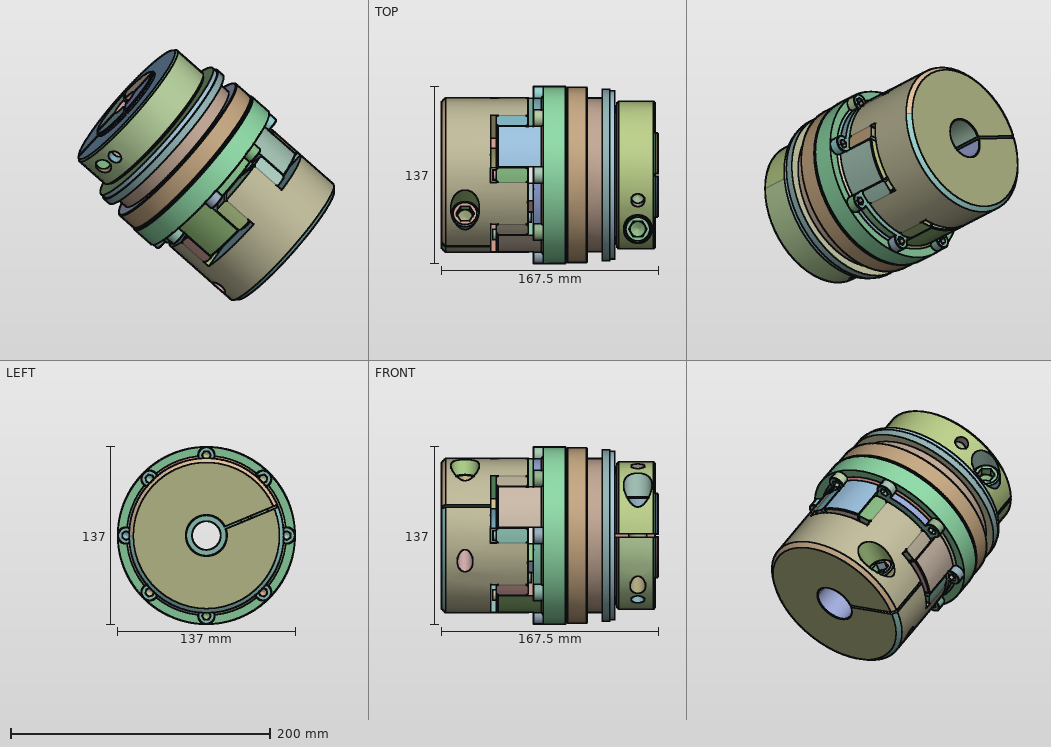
import cadquery as cq
import math


total_length = 167.5
hub_base_end = 38.0
hub_jaw_end = 66.5
driven_jaw_start = 43.0
driven_base_start = 71.0
driven_base_end = 77.0
flange_start = 78.7
flange_end = 96.0
ring_start = 97.0
ring_end = 112.6
neck_end = 124.0
plate_step = 130.0
plate_end = 133.8
collar_start = 133.9
collar_rim_start = 135.5
collar_end = 165.0

hub_radius = 59.7
hub_chamfer = 3.3
hub_bore_radius = 15.5
hub_bore_chamfer = 0.5
driven_cone_radius = 61.6
flange_radius = 68.5
flange_chamfer = 0.4
groove_radius = 66.5
ring_radius = 67.8
ring_chamfer = 0.7
neck_radius = 59.5
plate_radius = 66.3
plate_step_radius = 65.1
collar_neck_radius = 46.5
collar_radius = 57.1
collar_chamfer = 1.5
sleeve_radius = 32.5
sleeve_chamfer = 1.0
driven_bore_radius = 11.0

jaw_count = 4
jaw_pitch = 360 / jaw_count
jaw_inner_radius = 35.0
driven_jaw_angle = 22.5
hub_jaw_angle = driven_jaw_angle + jaw_pitch / 2
driven_jaw_clearance = 0.6
driven_jaw_chamfer = 0.8
spider_start = 42.3
spider_end = 67.0
spider_radius = hub_radius
spider_inner_radius = 29.0
spider_tooth_width = 11.2
spider_tooth_pitch = jaw_pitch / 2
spider_tooth_chamfer = 1.5
stud_diameter = 8.0
stud_height = 2.5
stud_radius = 46.0

flange_screw_count = 8
flange_screw_head = 13.0
flange_screw_edge = 0.4
flange_screw_inset = 0.05
flange_screw_circle_radius = flange_radius - flange_screw_head / 2 - flange_screw_inset
flange_screw_socket = 6.0
flange_screw_socket_depth = 4.0

clamp_head = 21.0
clamp_head_height = 14.0
clamp_head_chamfer = 1.3
clamp_shank = 14.0
clamp_pocket = 22.0
clamp_exit_hole = 12.0
clamp_socket = 12.0
clamp_socket_depth = 7.0
clamp_shank_bottom = -22.0
hub_clamp_x = 18.3
hub_clamp_offset = 44.1
hub_clamp_head_top = 28.9
hub_slit_angle = 22.5
hub_slit_width = 2.0
collar_clamp_x = 151.6
collar_clamp_offset = 41.7
collar_clamp_head_top = 30.0
collar_slit_width = 3.0

pin_hole = 10.5
pin_hole_depth = 8.0
pin_hole_angles = (70.0, -60.0)
sleeve_slot_width = 2.0
sleeve_slot_count = 4

drill_point_angle = 118.0
cut_margin = 5.0


def around_axis(shape, angle):
    """Turn a shape built at the -Y side to its angle about the X axis."""
    return shape.rotate((0, 0, 0), (1, 0, 0), -angle)


def revolve(profile):
    """Revolve (x, radius) points about the X axis."""
    return cq.Workplane("XY").polyline(profile).close().revolve(360, (0, 0, 0), (1, 0, 0))


def rod(start, end, radius):
    """Cylinder along the X axis."""
    return cq.Workplane("YZ", origin=(start, 0, 0)).circle(radius).extrude(end - start)


def sector(start, end, inner, outer, width_angle):
    """Ring sector along X, centred on the -Y direction."""
    half = math.radians(width_angle / 2)

    def at(radius, angle):
        return (-radius * math.cos(angle), radius * math.sin(angle))

    return (
        cq.Workplane("YZ", origin=(start, 0, 0))
        .moveTo(*at(inner, -half))
        .lineTo(*at(outer, -half))
        .threePointArc(at(outer, 0), at(outer, half))
        .lineTo(*at(inner, half))
        .threePointArc(at(inner, 0), at(inner, -half))
        .close()
        .extrude(end - start)
    )


def drill_point(radius):
    """Cone pointing down from the origin, as left by a drill."""
    height = radius / math.tan(math.radians(drill_point_angle / 2))
    half_section = cq.Workplane("XZ").polyline([(0, 0), (radius, 0), (0, -height)]).close()
    return half_section.revolve(360, (0, 0, 0), (0, 1, 0))


def hex_socket(width, depth):
    """Hexagon recess going down from the origin, with a conical bottom."""
    corner_diameter = width / math.cos(math.radians(30))
    hexagon = cq.Workplane("XY").polygon(6, corner_diameter).extrude(-depth)
    return hexagon.union(drill_point(width / 2).translate((0, 0, -depth)))


def tooth_bar(start, end, outer, width):
    """Parallel-sided bar along -Y, rooted inside the jaw ring."""
    root = (jaw_inner_radius + spider_inner_radius) / 2
    bar = cq.Workplane("XY").box(end - start, outer - root, width, centered=(False, False, True))
    return bar.translate((start, -outer, 0))


def cut_jaw_gaps(body, start, end, tooth_width, first_angle):
    """Hollow out the jaw length and cut the gaps that leave the jaws standing.

    Each gap holds one jaw of the other side and the two spider teeth beside it.
    """
    body = body.cut(rod(start, end, jaw_inner_radius))
    outer = hub_radius + cut_margin
    gap = sector(start, end, spider_inner_radius, outer, spider_tooth_pitch)
    bar = tooth_bar(start, end, outer, tooth_width)
    for side in (-1, 1):
        gap = gap.union(around_axis(bar, side * spider_tooth_pitch / 2))
    for i in range(jaw_count):
        body = body.cut(around_axis(gap, first_angle + i * jaw_pitch))
    return body


def hub_body():
    """Hub with its bevelled face, bore and four jaws."""
    body = revolve([
        (0, hub_bore_radius + hub_bore_chamfer),
        (0, hub_radius - hub_chamfer),
        (hub_chamfer, hub_radius),
        (hub_jaw_end, hub_radius),
        (hub_jaw_end, hub_bore_radius),
        (hub_bore_chamfer, hub_bore_radius),
    ])
    return cut_jaw_gaps(body, hub_base_end, hub_jaw_end, spider_tooth_width, driven_jaw_angle)


def driven_body():
    """Turned driven side: jaws, flange, rings, collar and sleeve end, with a through bore."""
    body = revolve([
        (driven_jaw_start, driven_bore_radius),
        (driven_jaw_start, hub_radius - driven_jaw_chamfer),
        (driven_jaw_start + driven_jaw_chamfer, hub_radius),
        (driven_base_end, hub_radius),
        (flange_start, driven_cone_radius),
        (flange_start, flange_radius),
        (flange_end - flange_chamfer, flange_radius),
        (flange_end, flange_radius - flange_chamfer),
        (flange_end, groove_radius),
        (ring_start, groove_radius),
        (ring_start, ring_radius - ring_chamfer),
        (ring_start + ring_chamfer, ring_radius),
        (ring_end - ring_chamfer, ring_radius),
        (ring_end, ring_radius - ring_chamfer),
        (ring_end, neck_radius),
        (neck_end, neck_radius),
        (neck_end, plate_radius),
        (plate_step, plate_radius),
        (plate_step, plate_step_radius),
        (plate_end, plate_step_radius),
        (plate_end, collar_neck_radius),
        (collar_start, collar_neck_radius),
        (collar_rim_start, collar_radius - collar_chamfer),
        (collar_rim_start + collar_chamfer, collar_radius),
        (collar_end - collar_chamfer, collar_radius),
        (collar_end, collar_radius - collar_chamfer),
        (collar_end, sleeve_radius),
        (total_length - sleeve_chamfer, sleeve_radius),
        (total_length, sleeve_radius - sleeve_chamfer),
        (total_length, driven_bore_radius),
    ])
    gap_tooth_width = spider_tooth_width + 2 * driven_jaw_clearance
    return cut_jaw_gaps(body, driven_jaw_start, driven_base_start, gap_tooth_width, hub_jaw_angle)


def spider():
    """Elastic star: a ring whose teeth fill the gaps between hub jaws and driven jaws."""
    body = rod(spider_start, spider_end, jaw_inner_radius)
    body = body.cut(rod(spider_start, spider_end, spider_inner_radius))
    tooth = tooth_bar(spider_start, spider_end, spider_radius + cut_margin, spider_tooth_width)
    tooth = tooth.edges("|Y").chamfer(spider_tooth_chamfer)
    tooth = tooth.intersect(rod(spider_start, spider_end, spider_radius))
    front_stud = rod(spider_start - stud_height, spider_start, stud_diameter / 2)
    rear_stud = rod(spider_end, spider_end + stud_height, stud_diameter / 2)
    for i in range(jaw_count):
        for step, stud in enumerate((front_stud, rear_stud)):
            studded_tooth = tooth.union(stud.translate((0, -stud_radius, 0)))
            body = body.union(around_axis(studded_tooth, i * jaw_pitch + step * spider_tooth_pitch))
    return body


def add_flange_screws(body):
    """Ring of socket head screws standing on the flange face."""
    head = rod(driven_base_start, flange_start, flange_screw_head / 2)
    head = head.faces("<X").edges().chamfer(flange_screw_edge)
    socket = hex_socket(flange_screw_socket, flange_screw_socket_depth)
    socket = socket.rotate((0, 0, 0), (0, 1, 0), -90).translate((driven_base_start, 0, 0))
    offset = (0, -flange_screw_circle_radius, 0)
    for i in range(flange_screw_count):
        angle = i * 360 / flange_screw_count
        body = body.union(around_axis(head.translate(offset), angle))
        body = body.cut(around_axis(socket.translate(offset), angle))
    return body


def add_clamp(body, x, offset, head_top, slit_angle):
    """Set a clamp screw square to the slit: head pocket, exit hole, then the screw itself."""

    def vertical_rod(radius, bottom, top):
        return cq.Workplane("XY", origin=(0, 0, bottom)).circle(radius).extrude(top - bottom)

    def place(shape):
        return around_axis(shape.translate((x, -offset, 0)), slit_angle)

    head_bottom = head_top - clamp_head_height
    pocket = vertical_rod(clamp_pocket / 2, head_bottom, flange_radius)
    exit_hole = vertical_rod(clamp_exit_hole / 2, -flange_radius, clamp_shank_bottom)
    head = vertical_rod(clamp_head / 2, head_bottom, head_top)
    head = head.faces(">Z").chamfer(clamp_head_chamfer)
    shank = vertical_rod(clamp_shank / 2, clamp_shank_bottom, head_bottom)
    socket = hex_socket(clamp_socket, clamp_socket_depth).translate((0, 0, head_top))
    screw = head.union(shank).cut(socket)
    return body.cut(place(pocket)).cut(place(exit_hole)).union(place(screw))


def radial_slit(start, end, outer, width, angle):
    """Flat slit reaching from the axis out to a radius."""
    slit = cq.Workplane("XY").box(end - start, outer, width, centered=(False, False, True))
    return around_axis(slit.translate((start, -outer, 0)), angle)


def cut_pin_holes(body):
    """Blind radial holes in the collar rim."""
    floor_radius = collar_radius - pin_hole_depth
    hole = cq.Workplane("XY").circle(pin_hole / 2).extrude(pin_hole_depth + cut_margin)
    hole = hole.union(drill_point(pin_hole / 2)).rotate((0, 0, 0), (1, 0, 0), 90)
    hole = hole.translate((collar_clamp_x, -floor_radius, 0))
    for angle in pin_hole_angles:
        body = body.cut(around_axis(hole, angle))
    return body


def clamping_hub():
    """Hub slit on one side and drawn together by its clamp screw."""
    slit = radial_slit(
        0, hub_base_end, hub_radius + cut_margin, hub_slit_width, hub_slit_angle
    )
    return add_clamp(
        hub_body().cut(slit), hub_clamp_x, hub_clamp_offset, hub_clamp_head_top, hub_slit_angle
    )


def driven_side():
    """Driven side with its slit collar, clamp screw and cross-slotted sleeve end."""
    body = driven_body()
    body = body.cut(radial_slit(
        plate_end, total_length, collar_radius + cut_margin, collar_slit_width, 0
    ))
    for i in range(sleeve_slot_count):
        angle = i * 360 / sleeve_slot_count
        body = body.cut(radial_slit(
            collar_end, total_length, sleeve_radius + cut_margin, sleeve_slot_width, angle
        ))
    body = add_clamp(body, collar_clamp_x, collar_clamp_offset, collar_clamp_head_top, 0)
    body = cut_pin_holes(body)
    return add_flange_screws(body)


result = clamping_hub().union(spider()).union(driven_side())